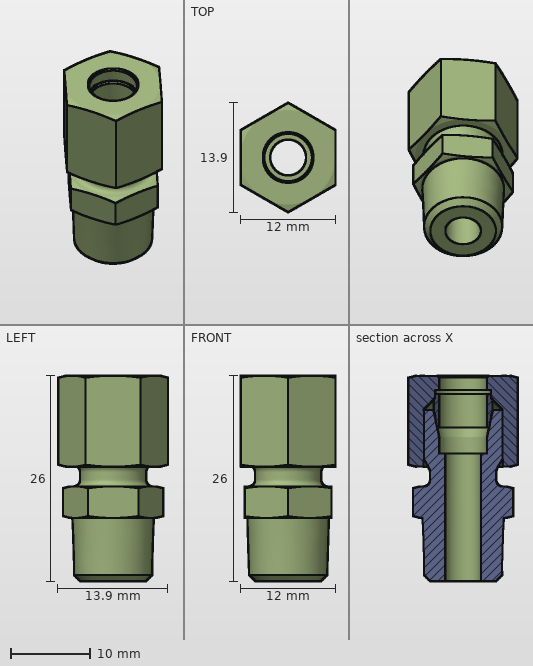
import cadquery as cq
import math


TOTAL_HEIGHT = 26.0
BODY_HEX_BOTTOM = 8.0
BODY_HEX_TOP = 12.0
NUT_BOTTOM = 14.48
BODY_TOP = 21.68

NUT_ACROSS_FLATS = 12.0
BODY_ACROSS_FLATS = 11.0
HEX_CHAMFER_ANGLE = 15.0
HEX_CHAMFER_INSET = 0.03

TAPER_TOP_DIAMETER = 10.35
TAPER_BOTTOM_DIAMETER = 9.9
TAPER_CHAMFER = 0.8
NECK_DIAMETER = 8.4
NECK_FILLET = 0.8
NECK_TOP = 13.8
RUNOUT_ANGLE = 30.0
BODY_THREAD_DIAMETER = 10.0

TUBE_DIAMETER = 6.0
BORE_DIAMETER = 4.5
TUBE_STOP_DEPTH = 5.5

RING_DIAMETER = 7.5
RING_COLLAR_DIAMETER = 7.0
RING_TOP = 23.69
RING_NOSE_WALL = 0.25
SEAT_HALF_ANGLE = 12.0
RECESS_CLEARANCE = 0.5
NUT_MOUTH_CHAMFER = 0.2

tube_radius = TUBE_DIAMETER / 2
thread_radius = BODY_THREAD_DIAMETER / 2
ring_radius = RING_DIAMETER / 2
collar_radius = RING_COLLAR_DIAMETER / 2
seat_slope = math.tan(math.radians(SEAT_HALF_ANGLE))
shoulder_top = BODY_TOP + thread_radius - collar_radius
ring_shoulder_bottom = shoulder_top - (ring_radius - collar_radius)


def revolve_profile(profile):
    """Turn a closed profile, drawn as radius and height, around the Z axis."""
    return profile.close().revolve(360, (0, 0, 0), (0, 1, 0))


def chamfered_hexagon(across_flats, bottom, top):
    """Hexagonal prism whose corners are turned off by a shallow cone at both ends."""
    corner_radius = across_flats / 2 / math.cos(math.pi / 6)
    rim_radius = across_flats / 2 - HEX_CHAMFER_INSET
    chamfer_height = (corner_radius - rim_radius) * math.tan(math.radians(HEX_CHAMFER_ANGLE))
    prism = (
        cq.Workplane("XY", origin=(0, 0, bottom))
        .polygon(6, 2 * corner_radius)
        .extrude(top - bottom)
        .rotate((0, 0, 0), (0, 0, 1), 30)
    )
    envelope = revolve_profile(
        cq.Workplane("XZ")
        .moveTo(0, bottom)
        .lineTo(rim_radius, bottom)
        .lineTo(corner_radius, bottom + chamfer_height)
        .lineTo(corner_radius, top - chamfer_height)
        .lineTo(rim_radius, top)
        .lineTo(0, top)
    )
    return prism.intersect(envelope)


def tapered_thread():
    """Tapered thread blank below the hexagon, with a 45 degree lead chamfer."""
    bottom_radius = TAPER_BOTTOM_DIAMETER / 2
    return revolve_profile(
        cq.Workplane("XZ")
        .moveTo(0, 0)
        .lineTo(bottom_radius - TAPER_CHAMFER, 0)
        .lineTo(bottom_radius, TAPER_CHAMFER)
        .lineTo(TAPER_TOP_DIAMETER / 2, BODY_HEX_BOTTOM)
        .lineTo(0, BODY_HEX_BOTTOM)
    )


def neck_and_nut_thread():
    """Filleted neck above the hexagon, its runout cone and the nut's thread blank."""
    neck_radius = NECK_DIAMETER / 2
    fillet_bottom = BODY_HEX_TOP + NECK_FILLET
    diagonal = NECK_FILLET * math.sin(math.pi / 4)
    runout = math.radians(RUNOUT_ANGLE)

    def runout_arc_point(angle):
        return (
            neck_radius + NECK_FILLET * (1 - math.cos(angle)),
            NECK_TOP + NECK_FILLET * math.sin(angle),
        )

    cone_radius, cone_bottom = runout_arc_point(runout)
    cone_top = cone_bottom + (thread_radius - cone_radius) / math.tan(runout)
    return revolve_profile(
        cq.Workplane("XZ")
        .moveTo(0, BODY_HEX_TOP)
        .lineTo(neck_radius + NECK_FILLET, BODY_HEX_TOP)
        .threePointArc(
            (neck_radius + NECK_FILLET - diagonal, fillet_bottom - diagonal),
            (neck_radius, fillet_bottom),
        )
        .lineTo(neck_radius, NECK_TOP)
        .threePointArc(runout_arc_point(runout / 2), (cone_radius, cone_bottom))
        .lineTo(thread_radius, cone_top)
        .lineTo(thread_radius, BODY_TOP)
        .lineTo(0, BODY_TOP)
    )


def body_passage():
    """Through bore, tube socket and the conical seat of the cutting ring."""
    bore_radius = BORE_DIAMETER / 2
    tube_stop = BODY_TOP - TUBE_STOP_DEPTH
    seat_bottom = BODY_TOP - (ring_radius - tube_radius) / seat_slope
    return revolve_profile(
        cq.Workplane("XZ")
        .moveTo(0, 0)
        .lineTo(bore_radius, 0)
        .lineTo(bore_radius, tube_stop)
        .lineTo(tube_radius, tube_stop)
        .lineTo(tube_radius, seat_bottom)
        .lineTo(ring_radius, BODY_TOP)
        .lineTo(0, BODY_TOP)
    )


def make_body():
    hexagon = chamfered_hexagon(BODY_ACROSS_FLATS, BODY_HEX_BOTTOM, BODY_HEX_TOP)
    outside = hexagon.union(tapered_thread()).union(neck_and_nut_thread())
    return outside.cut(body_passage())


def make_nut():
    """Union nut: thread bore, 45 degree shoulder, ring recess and chamfered tube hole."""
    recess_top = RING_TOP + RECESS_CLEARANCE
    cavity = revolve_profile(
        cq.Workplane("XZ")
        .moveTo(0, NUT_BOTTOM)
        .lineTo(thread_radius, NUT_BOTTOM)
        .lineTo(thread_radius, BODY_TOP)
        .lineTo(collar_radius, shoulder_top)
        .lineTo(collar_radius, recess_top)
        .lineTo(tube_radius, recess_top)
        .lineTo(tube_radius, TOTAL_HEIGHT - NUT_MOUTH_CHAMFER)
        .lineTo(tube_radius + NUT_MOUTH_CHAMFER, TOTAL_HEIGHT)
        .lineTo(0, TOTAL_HEIGHT)
    )
    return chamfered_hexagon(NUT_ACROSS_FLATS, NUT_BOTTOM, TOTAL_HEIGHT).cut(cavity)


def make_cutting_ring():
    """Ring with a collar, a 45 degree shoulder and a nose tapering into the body's seat."""
    nose_radius = tube_radius + RING_NOSE_WALL
    nose_bottom = BODY_TOP - (ring_radius - nose_radius) / seat_slope
    return revolve_profile(
        cq.Workplane("XZ")
        .moveTo(tube_radius, nose_bottom)
        .lineTo(nose_radius, nose_bottom)
        .lineTo(ring_radius, BODY_TOP)
        .lineTo(ring_radius, ring_shoulder_bottom)
        .lineTo(collar_radius, shoulder_top)
        .lineTo(collar_radius, RING_TOP)
        .lineTo(tube_radius, RING_TOP)
    )


body = make_body()
nut = make_nut()
cutting_ring = make_cutting_ring()

result = cq.Compound.makeCompound([body.solids().val(), nut.solids().val(), cutting_ring.val()])